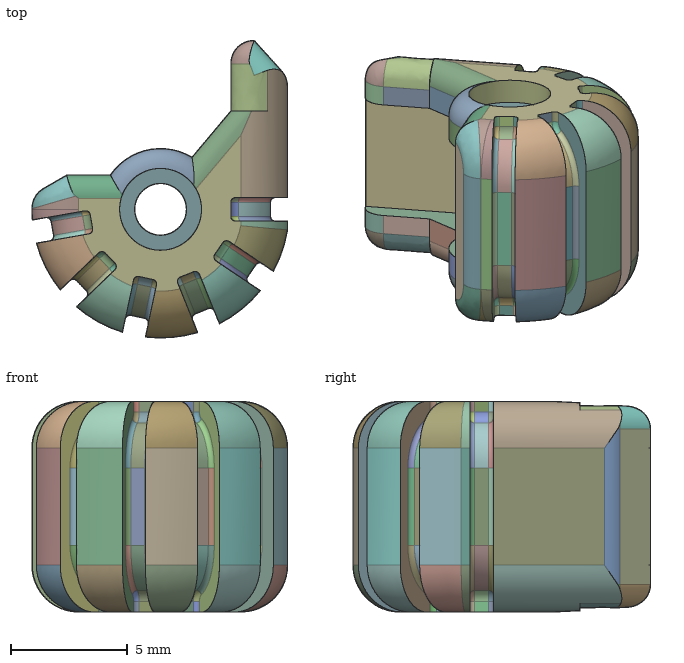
import cadquery as cq
import math

HEIGHT = 9.0
BODY_RADIUS = 5.5
OUTER_ROUND = 2.0
INNER_ROUND = 1.0

ARM_OUTER_X = 5.43
ARM_INNER_X = 3.0
ARM_END_Y = 7.22
ARM_BEVEL_X = 4.0
ARM_BEVEL_ANGLE = 48.0

WEB_CORNER_Y = 4.2
WEB_ANGLE = 50.0

STUB_TOP_Y = 1.47
STUB_BEVEL_X = -4.0
STUB_BEVEL_ANGLE = 30.0

HUB_RADIUS = 2.6
BORE_DIAMETER = 2.2
COUNTERBORE_DIAMETER = 3.5
COUNTERBORE_DEPTH = 1.0

RECESS_HEIGHT = 5.0
RECESS_FLOOR_X = ARM_BEVEL_X

GROOVE_COUNT = 6
GROOVE_PITCH = 34.0
GROOVE_WIDTH = 1.0
GROOVE_DEPTH = 0.8
GROOVE_END_RADIUS = 3.0
GROOVE_FLOOR_ROUND = 2.05
GROOVE_END_ROUND = 0.5
GROOVE_EDGE_ROUND = 0.2

HALF_HEIGHT = HEIGHT / 2
CLEARANCE = 1.0


def rise(run, angle):
    """Height gained over a horizontal run at an angle in degrees."""
    return run * math.tan(math.radians(angle))


def slab(points):
    """Polygon in plan, extruded over the full height."""
    return cq.Workplane("XY").workplane(offset=-HALF_HEIGHT).polyline(points).close().extrude(HEIGHT)


def outer_blank():
    """Disc running on straight in +Y, trimmed on the right, with rounded outer rims."""
    far_y = ARM_END_Y + CLEARANCE
    corner_y = -math.sqrt(BODY_RADIUS**2 - ARM_OUTER_X**2)
    blank = (
        cq.Workplane("XY")
        .workplane(offset=-HALF_HEIGHT)
        .moveTo(-BODY_RADIUS, far_y)
        .lineTo(-BODY_RADIUS, 0)
        .threePointArc((0, -BODY_RADIUS), (ARM_OUTER_X, corner_y))
        .lineTo(ARM_OUTER_X, far_y)
        .close()
        .extrude(HEIGHT)
    )
    rims = blank.faces("|Z").edges("not(>Y)")
    return rims.fillet(OUTER_ROUND)


def lower_body(blank):
    """Main half disc, closed off by the rounded edge and bevel of the stub."""
    far_x = BODY_RADIUS + CLEARANCE
    block = slab([(-far_x, -far_x), (far_x, -far_x), (far_x, STUB_TOP_Y), (-far_x, STUB_TOP_Y)])
    block = block.edges("|X and >Y").fillet(INNER_ROUND)
    bevel_drop = rise(far_x + STUB_BEVEL_X, STUB_BEVEL_ANGLE)
    bevel = slab([
        (STUB_BEVEL_X, STUB_TOP_Y),
        (-far_x, STUB_TOP_Y),
        (-far_x, STUB_TOP_Y - bevel_drop),
    ])
    body = blank.intersect(block).cut(bevel)
    bevel_corner_y = STUB_TOP_Y - rise(BODY_RADIUS + STUB_BEVEL_X, STUB_BEVEL_ANGLE)
    corner = cq.selectors.NearestToPointSelector((-BODY_RADIUS, bevel_corner_y, 0))
    return body.edges("|Z").edges(corner).fillet(INNER_ROUND)


def hub():
    return (
        cq.Workplane("XY")
        .workplane(offset=-HALF_HEIGHT)
        .circle(HUB_RADIUS)
        .extrude(HEIGHT)
        .edges("%CIRCLE")
        .fillet(INNER_ROUND)
    )


def web(blank):
    """Infill between hub and arm, reaching in as far as the ridge along the top of the arm."""
    outer_center_x = ARM_OUTER_X - OUTER_ROUND
    inner_center_x = ARM_INNER_X + INNER_ROUND
    center_offset = OUTER_ROUND - INNER_ROUND
    ridge_x = outer_center_x + (inner_center_x - outer_center_x) * OUTER_ROUND / center_offset
    foot_x = ARM_INNER_X - WEB_CORNER_Y / rise(1, WEB_ANGLE)
    block = slab([(foot_x, 0), (ARM_INNER_X, WEB_CORNER_Y), (ridge_x, WEB_CORNER_Y), (ridge_x, 0)])
    sloping_rims = block.faces("|Z").edges("not(#X or #Y)")
    return sloping_rims.fillet(INNER_ROUND).intersect(blank)


def arm():
    """Rounded bar in +Y with a rounded end face and a rounded bevel."""
    bar = slab([(ARM_INNER_X, 0), (ARM_OUTER_X, 0), (ARM_OUTER_X, ARM_END_Y), (ARM_INNER_X, ARM_END_Y)])
    bar = bar.edges("|Y and >X").fillet(OUTER_ROUND)
    bar = bar.edges("|Y and <X").fillet(INNER_ROUND)
    bar = bar.faces(">Y").edges().fillet(INNER_ROUND)
    return bar.intersect(bevel_block(bar.val().BoundingBox().zmax))


def bevel_block(top_z):
    """Block as tall as the arm, rounded along the bevel and its outer corner."""
    corner_y = ARM_END_Y - rise(ARM_OUTER_X - ARM_BEVEL_X, ARM_BEVEL_ANGLE)
    peak_y = ARM_END_Y + rise(ARM_BEVEL_X, ARM_BEVEL_ANGLE)
    outline = [(0, 0), (ARM_OUTER_X, 0), (ARM_OUTER_X, corner_y), (0, peak_y)]
    block = cq.Workplane("XY").polyline(outline).close().extrude(top_z, both=True)
    corner = cq.selectors.NearestToPointSelector((ARM_OUTER_X, corner_y, 0))
    block = block.edges("|Z").edges(corner).fillet(INNER_ROUND)
    return block.faces(">X").edges("|Y").fillet(INNER_ROUND)


def recess():
    """Opening across the inner side, flush with the stub and open at the end of the arm."""
    near_x = -BODY_RADIUS - CLEARANCE
    far_y = ARM_END_Y + CLEARANCE
    size_x = RECESS_FLOOR_X - near_x
    size_y = far_y - STUB_TOP_Y
    return cq.Workplane("XY").box(size_x, size_y, RECESS_HEIGHT).translate(
        (near_x + size_x / 2, STUB_TOP_Y + size_y / 2, 0)
    )


def bore():
    """Cutter for the through hole and the counterbore in the top face."""
    hole = cq.Workplane("XY").circle(BORE_DIAMETER / 2).extrude(HALF_HEIGHT + CLEARANCE, both=True)
    counterbore = (
        cq.Workplane("XY")
        .workplane(offset=HALF_HEIGHT - COUNTERBORE_DEPTH)
        .circle(COUNTERBORE_DIAMETER / 2)
        .extrude(COUNTERBORE_DEPTH + CLEARANCE)
    )
    return hole.union(counterbore)


def groove():
    """Cutter for the groove at +X: its floor follows the rounded outer side, then steps up to the faces."""
    floor_radius = BODY_RADIUS - GROOVE_DEPTH
    floor_top = HALF_HEIGHT - GROOVE_DEPTH
    straight = floor_top - GROOVE_FLOOR_ROUND
    far_x = BODY_RADIUS + CLEARANCE
    far_z = HALF_HEIGHT + CLEARANCE

    arc_x = floor_radius - GROOVE_FLOOR_ROUND
    step_x = GROOVE_END_RADIUS + GROOVE_END_ROUND
    reach = GROOVE_FLOOR_ROUND + GROOVE_END_ROUND
    step_angle = math.acos((step_x - arc_x) / reach)
    step_z = straight + reach * math.sin(step_angle)

    def floor_point(angle):
        return (
            arc_x + GROOVE_FLOOR_ROUND * math.cos(angle),
            straight + GROOVE_FLOOR_ROUND * math.sin(angle),
        )

    def step_point(angle):
        return (step_x - GROOVE_END_ROUND * math.cos(angle), step_z - GROOVE_END_ROUND * math.sin(angle))

    def mirrored(point):
        return (point[0], -point[1])

    floor_end = floor_point(step_angle)
    floor_middle = floor_point(step_angle / 2)
    step_middle = step_point(step_angle / 2)
    wall_end = step_point(0)
    cutter = (
        cq.Workplane("XZ")
        .moveTo(far_x, -far_z)
        .lineTo(GROOVE_END_RADIUS, -far_z)
        .lineTo(*mirrored(wall_end))
        .threePointArc(mirrored(step_middle), mirrored(floor_end))
        .threePointArc(mirrored(floor_middle), (floor_radius, -straight))
        .lineTo(floor_radius, straight)
        .threePointArc(floor_middle, floor_end)
        .threePointArc(step_middle, wall_end)
        .lineTo(GROOVE_END_RADIUS, far_z)
        .lineTo(far_x, far_z)
        .close()
        .extrude(GROOVE_WIDTH / 2, both=True)
    )
    rims = cutter.faces("|Y").edges("not(>X or >Z or <Z)")
    return rims.fillet(GROOVE_EDGE_ROUND)


def cut_grooves(body):
    """Cut the grooves one by one, clockwise from +X."""
    cutter = groove()
    for index in range(GROOVE_COUNT):
        body = body.cut(cutter.rotate((0, 0, 0), (0, 0, 1), -index * GROOVE_PITCH))
    return body


blank = outer_blank()
solid = lower_body(blank).union(hub()).union(web(blank)).union(arm())
solid = solid.cut(recess()).cut(bore())
result = cut_grooves(solid)